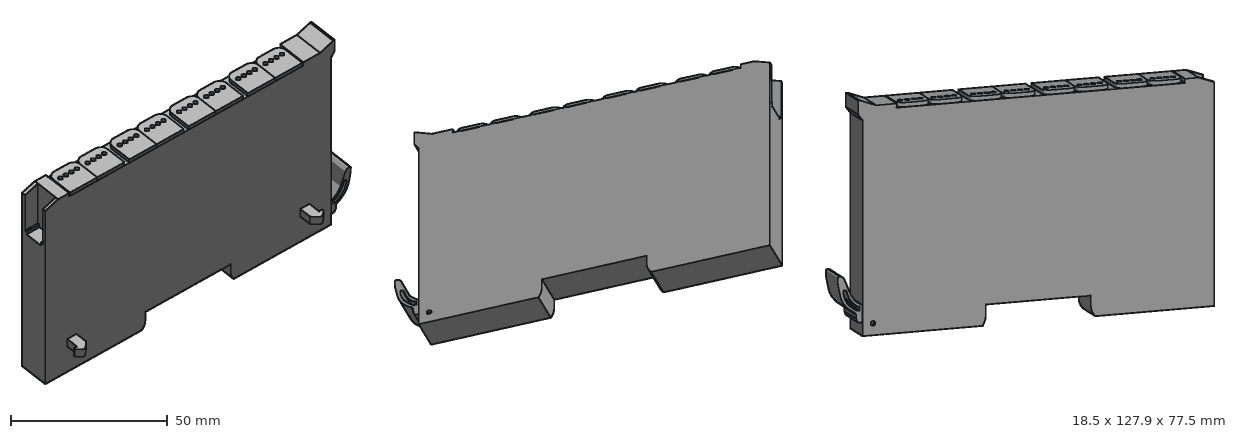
import cadquery as cq


width = 11.5
length = 119.6
top_z = 75.5
chamfer_drop = 1.9

pocket_left = 1.5
pocket_right = 10.4
pocket_depth = 5.4
pocket_floor_z = 58.6
groove_left = 2.3
groove_right = 9.2
groove_floor_z = 57.4

lip_overhang = 1.5
lip_top_z = 77.5
lip_flat = 0.6
lip_slope_length = 5.5
lip_lower_z = 72.9
lip_root_z = 70.8

notch_front = 42.0
notch_back = 77.6
notch_top_z = 6.9
corner_height = 3.5
front_corner_run = 1.5
back_corner_run = 1.2
corner_mid_share = 0.25

pivot_y = 116.0
pivot_z = 4.0
pivot_diameter = 1.5
pivot_depth = 1.3

block_length = 11.4
block_left = 0.4
block_height = 1.4
block_corner_radius = 2.8
pair_count = 4
blocks_per_pair = 2
pair_pitch = 24.8
recess_front = 10.0
recess_end_gap = 0.4
contact_count = 4
contact_pitch = 2.3
contact_diameter = 1.5
contact_x = 4.1

pair_length = blocks_per_pair * block_length
row_length = (pair_count - 1) * pair_pitch + pair_length
recess_length = row_length + 2 * recess_end_gap
recess_floor_z = top_z - block_height

hook_reach = 7.0
hook_bottom_z = 10.7
hook_height = 3.2
hook_stem_width = 3.8
hook_stem_length = 4.7
hook_barb = 1.4
hook_barb_flat = 0.6
hook_nose_start = 4.7
hook_tip_start = 6.6
hook_tip_low = 1.9
hook_tip_high = 3.7
front_hook_y = 13.0
back_hook_y = 106.7

lever_left = 0.4
lever_back = 127.9
lever_bottom_z = 4.3
lever_root_z = 10.2
slot_end_y = 120.3
slot_bottom_z = 8.5
slot_end_height = 1.3


def side_prism(profile, x_start, x_end):
    """Extrude a closed (Y, Z) profile along X."""
    return profile.extrude(x_end - x_start).translate((x_start, 0, 0))


def make_housing_block():
    lip_back = length + lip_overhang
    slope_top = lip_back - lip_flat
    mid_z = corner_height / 2
    profile = (
        cq.Workplane("YZ")
        .lineTo(notch_front - front_corner_run, 0)
        .threePointArc(
            (notch_front - corner_mid_share * front_corner_run, mid_z),
            (notch_front, corner_height),
        )
        .lineTo(notch_front, notch_top_z)
        .lineTo(notch_back, notch_top_z)
        .lineTo(notch_back, corner_height)
        .threePointArc(
            (notch_back + corner_mid_share * back_corner_run, mid_z),
            (notch_back + back_corner_run, 0),
        )
        .lineTo(length, 0)
        .lineTo(length, lip_root_z)
        .lineTo(lip_back, lip_lower_z)
        .lineTo(lip_back, lip_top_z)
        .lineTo(slope_top, lip_top_z)
        .lineTo(slope_top - lip_slope_length, top_z)
        .lineTo(pocket_depth, top_z)
        .lineTo(0, top_z - chamfer_drop)
        .close()
    )
    return side_prism(profile, 0, width)


def make_front_pocket():
    pocket = cq.Workplane("XY").box(
        pocket_right - pocket_left, pocket_depth, top_z - pocket_floor_z, centered=False
    )
    groove = cq.Workplane("XY").box(
        groove_right - groove_left, pocket_depth, top_z - groove_floor_z, centered=False
    )
    return pocket.translate((pocket_left, 0, pocket_floor_z)).union(
        groove.translate((groove_left, 0, groove_floor_z))
    )


def make_block_recess():
    recess = cq.Workplane("XY").box(width, recess_length, block_height, centered=False)
    return recess.translate((0, recess_front, recess_floor_z))


def make_pivot_hole():
    circle = cq.Workplane("YZ").center(pivot_y, pivot_z).circle(pivot_diameter / 2)
    return circle.extrude(pivot_depth)


def make_snap_hook(plain_side_y, barb_direction):
    """Hook along +X with its barb on the side given by barb_direction (+1 or -1 in Y)."""

    def point(reach, across):
        return (width + reach, plain_side_y + barb_direction * across)

    barb_top = hook_stem_width + hook_barb
    return (
        cq.Workplane("XY", origin=(0, 0, hook_bottom_z))
        .moveTo(*point(0, 0))
        .lineTo(*point(hook_nose_start, 0))
        .lineTo(*point(hook_tip_start, hook_tip_low))
        .threePointArc(
            point(hook_reach, (hook_tip_low + hook_tip_high) / 2),
            point(hook_tip_start, hook_tip_high),
        )
        .lineTo(*point(hook_stem_length + hook_barb_flat, barb_top))
        .lineTo(*point(hook_stem_length, barb_top))
        .lineTo(*point(hook_stem_length, hook_stem_width))
        .lineTo(*point(0, hook_stem_width))
        .close()
        .extrude(hook_height)
    )


def make_housing():
    return (
        make_housing_block()
        .cut(make_front_pocket())
        .cut(make_block_recess())
        .cut(make_pivot_hole())
        .union(make_snap_hook(front_hook_y, -1))
        .union(make_snap_hook(back_hook_y, 1))
    )


def make_terminal_block(front_y):
    """Block with rounded -X corners and a row of contact holes along Y."""
    contacts = [
        (contact_x, front_y + block_length / 2 + (i - (contact_count - 1) / 2) * contact_pitch)
        for i in range(contact_count)
    ]
    body = (
        cq.Workplane("XY")
        .box(width - block_left, block_length, block_height, centered=False)
        .edges("|Z and <X")
        .fillet(block_corner_radius)
        .translate((block_left, front_y, recess_floor_z))
    )
    holes = (
        cq.Workplane("XY", origin=(0, 0, recess_floor_z))
        .pushPoints(contacts)
        .circle(contact_diameter / 2)
        .extrude(block_height)
    )
    return body.cut(holes)


def make_terminal_blocks():
    blocks = []
    for pair in range(pair_count):
        for place in range(blocks_per_pair):
            offset = pair * pair_pitch + place * block_length
            blocks.append(make_terminal_block(recess_front + recess_end_gap + offset))
    return blocks


def make_lever_outline():
    """Foot on the back wall, outer curve up to the rounded tip, then the inner side back down."""
    return (
        cq.Workplane("YZ")
        .moveTo(length, lever_bottom_z)
        .lineTo(121.1, 4.6)
        .lineTo(121.6, 5.9)
        .lineTo(121.6, 7.2)
        .lineTo(122.3, 7.9)
        .lineTo(123.1, 8.3)
        .spline([(124.8, 9.7), (126.5, 12.1), (127.2, 14.8), (127.8, 17.4)], includeCurrent=True)
        .lineTo(lever_back, 19.5)
        .threePointArc((127.8, 19.8), (127.2, 20.2))
        .threePointArc((126.2, 19.8), (125.5, 18.8))
        .lineTo(123.5, 14.2)
        .threePointArc((122.0, 11.9), (length, lever_root_z))
        .close()
    )


def make_lever_slot():
    """Curved slot with a square lower end and a rounded upper end."""
    return (
        cq.Workplane("YZ")
        .moveTo(slot_end_y, slot_bottom_z)
        .lineTo(121.4, slot_bottom_z)
        .spline([(122.4, 9.1), (124.2, 10.7), (125.3, 12.5), (126.0, 14.7)], includeCurrent=True)
        .threePointArc((125.6, 15.5), (124.8, 15.0))
        .spline([(124.2, 13.2), (123.0, 11.4), (121.2, 9.8)], includeCurrent=True)
        .lineTo(slot_end_y, slot_bottom_z + slot_end_height)
        .close()
    )


def make_lever():
    """Curved lever against the back of the housing, split by a slot into two thin arms."""
    body = side_prism(make_lever_outline(), lever_left, width)
    return body.cut(side_prism(make_lever_slot(), lever_left, width))


housing = make_housing()
terminal_blocks = make_terminal_blocks()
lever = make_lever()

result = cq.Compound.makeCompound(
    [housing.val(), *[block.val() for block in terminal_blocks], lever.val()]
)